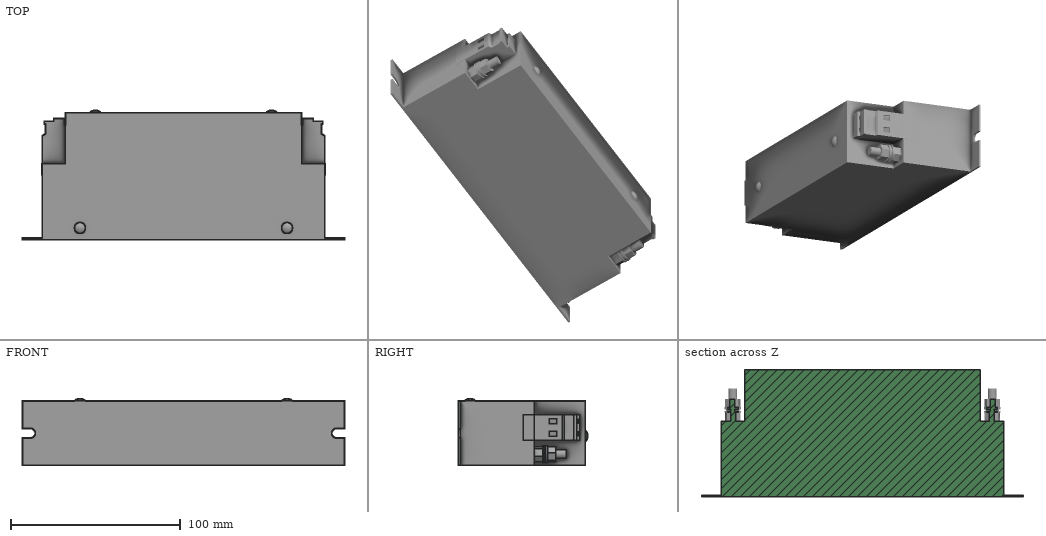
import cadquery as cq
import math


HEIGHT = 38.0
DEPTH = 75.0
BODY_WIDTH = 166.6
NECK_WIDTH = 139.2
SHOULDER_Y = 44.7
PLATE_WIDTH = 190.03
PLATE_THICKNESS = 1.2

SLOT_WIDTH = 5.5
SLOT_LENGTH = 7.6

HEAD_HEIGHT = 1.37
HEAD_DIAMETER = 6.5
TOP_SCREW_X = 61.0
TOP_SCREW_Y = 7.0
BACK_SCREW_X = 52.0
BACK_SCREW_Z = 17.4

TERMINAL_BOTTOM = 14.85
TERMINAL_HEIGHT = 15.0
TERMINAL_FRONT_Y = 38.3
TERMINAL_BACK_Y = 71.6
TERMINAL_LEDGE_Y = 69.9
TERMINAL_LEDGE_WIDTH = 6.8
ENTRY_PAD_THICKNESS = 0.1
GROOVE_FRONT_Y = 61.3
GROOVE_BACK_Y = 68.2
GROOVE_DEPTH = 1.85
GROOVE_BEVEL = 1.1
LIP_INSET = 1.2
WINDOW_LENGTH = 4.4
WINDOW_HEIGHT = 3.1
WINDOW_DEPTH = 1.0
WINDOW_Y = 55.8
WINDOW_SPACING = 7.4
NOTCH_DEPTH = 0.5
NOTCH_LENGTH = 0.7
NOTCH_HEIGHT = 2.2
RELIEF_WIDTH = 0.5
RELIEF_FRONT_Y = 67.8

STUD_X = (BODY_WIDTH + NECK_WIDTH) / 4
STUD_Z = 6.6
STUD_DIAMETER = 5.0
STUD_END_Y = 63.7
NUT_ACROSS_FLATS = 8.0
NUT_DIAMETER = NUT_ACROSS_FLATS / math.cos(math.pi / 6)
INNER_NUT_LENGTH = 5.0
INNER_NUT_ANGLE = 15.0
LOCK_WASHER_THICKNESS = 0.9
LOCK_WASHER_DIAMETER = 10.0
SPACER_THICKNESS = 1.0
SPACER_DIAMETER = 8.0
WASHER_THICKNESS = 1.2
WASHER_DIAMETER = 10.0
OUTER_NUT_LENGTH = 4.7
OUTER_NUT_ANGLE = 48.0


def block(x0, x1, y0, y1, z0, z1):
    """Box between the given limits."""
    return cq.Workplane("XY").box(x1 - x0, y1 - y0, z1 - z0, centered=False).translate((x0, y0, z0))


def both_sides(shape):
    """The left-hand shape together with its mirror image on the right."""
    return shape.union(shape.mirror("YZ"))


def make_housing():
    half_body = BODY_WIDTH / 2
    half_neck = NECK_WIDTH / 2
    half_plate = PLATE_WIDTH / 2
    base = block(-half_body, half_body, 0, SHOULDER_Y, 0, HEIGHT)
    neck = block(-half_neck, half_neck, 0, DEPTH, 0, HEIGHT)
    plate = block(-half_plate, half_plate, 0, PLATE_THICKNESS, 0, HEIGHT)
    return base.union(neck).union(plate)


def make_mounting_slot():
    """Slot cutter whose round end lies inside the left edge of the plate."""
    return (
        cq.Workplane("XZ")
        .center(-PLATE_WIDTH / 2, HEIGHT / 2)
        .slot2D(2 * SLOT_LENGTH, SLOT_WIDTH)
        .extrude(-PLATE_THICKNESS)
    )


def make_screw_head():
    """Spherical dome standing on the XY plane."""
    radius = HEAD_DIAMETER / 2
    sphere_radius = (radius**2 + HEAD_HEIGHT**2) / (2 * HEAD_HEIGHT)
    dome = cq.Workplane("XY").sphere(sphere_radius).translate((0, 0, HEAD_HEIGHT - sphere_radius))
    return dome.intersect(cq.Workplane("XY").circle(radius).extrude(HEAD_HEIGHT))


def make_terminal():
    """Stepped block with a thin pad where it enters the housing, and a window and a notch per pole."""
    outer_x = -BODY_WIDTH / 2
    pad_x = outer_x - ENTRY_PAD_THICKNESS
    wall_x = -NECK_WIDTH / 2
    ledge_x = outer_x + TERMINAL_LEDGE_WIDTH
    outline = [
        (wall_x, TERMINAL_FRONT_Y),
        (pad_x, TERMINAL_FRONT_Y),
        (pad_x, SHOULDER_Y),
        (outer_x, SHOULDER_Y),
        (outer_x, GROOVE_FRONT_Y),
        (outer_x + GROOVE_DEPTH, GROOVE_FRONT_Y + GROOVE_BEVEL),
        (outer_x + GROOVE_DEPTH, GROOVE_BACK_Y),
        (outer_x + LIP_INSET, GROOVE_BACK_Y),
        (outer_x + LIP_INSET, TERMINAL_LEDGE_Y),
        (ledge_x, TERMINAL_LEDGE_Y),
        (ledge_x, TERMINAL_BACK_Y),
        (wall_x - RELIEF_WIDTH, TERMINAL_BACK_Y),
        (wall_x - RELIEF_WIDTH, RELIEF_FRONT_Y),
        (wall_x, RELIEF_FRONT_Y),
    ]
    terminal = cq.Workplane("XY").workplane(offset=TERMINAL_BOTTOM).polyline(outline).close()
    terminal = terminal.extrude(TERMINAL_HEIGHT)

    middle_z = TERMINAL_BOTTOM + TERMINAL_HEIGHT / 2
    notch_y = TERMINAL_LEDGE_Y + NOTCH_LENGTH / 2
    window = cq.Workplane("XY").box(2 * WINDOW_DEPTH, WINDOW_LENGTH, WINDOW_HEIGHT)
    notch = cq.Workplane("XY").box(2 * NOTCH_DEPTH, NOTCH_LENGTH, NOTCH_HEIGHT)
    for side in (-1, 1):
        pole_z = middle_z + side * WINDOW_SPACING / 2
        terminal = terminal.cut(window.translate((outer_x, WINDOW_Y, pole_z)))
        terminal = terminal.cut(notch.translate((ledge_x, notch_y, pole_z)))
    return terminal


def make_earth_stud():
    """Threaded stud with its nuts and washers stacked outwards from the shoulder."""

    def stud_plane(y):
        return cq.Workplane("XZ", origin=(-STUD_X, y, STUD_Z))

    def disc(y, diameter, length):
        return stud_plane(y).circle(diameter / 2).extrude(-length)

    def nut(y, length, angle):
        return stud_plane(y).transformed(rotate=(0, 0, angle)).polygon(6, NUT_DIAMETER).extrude(-length)

    lock_washer_y = SHOULDER_Y + INNER_NUT_LENGTH
    spacer_y = lock_washer_y + LOCK_WASHER_THICKNESS
    washer_y = spacer_y + SPACER_THICKNESS
    outer_nut_y = washer_y + WASHER_THICKNESS
    return (
        disc(SHOULDER_Y, STUD_DIAMETER, STUD_END_Y - SHOULDER_Y)
        .union(nut(SHOULDER_Y, INNER_NUT_LENGTH, INNER_NUT_ANGLE))
        .union(disc(lock_washer_y, LOCK_WASHER_DIAMETER, LOCK_WASHER_THICKNESS))
        .union(disc(spacer_y, SPACER_DIAMETER, SPACER_THICKNESS))
        .union(disc(washer_y, WASHER_DIAMETER, WASHER_THICKNESS))
        .union(nut(outer_nut_y, OUTER_NUT_LENGTH, OUTER_NUT_ANGLE))
    )


top_head = make_screw_head().translate((-TOP_SCREW_X, TOP_SCREW_Y, HEIGHT))
back_head = make_screw_head().rotate((0, 0, 0), (1, 0, 0), -90)
back_head = back_head.translate((-BACK_SCREW_X, DEPTH, BACK_SCREW_Z))

result = make_housing().cut(both_sides(make_mounting_slot()))
for feature in (top_head, back_head, make_terminal(), make_earth_stud()):
    result = result.union(both_sides(feature))